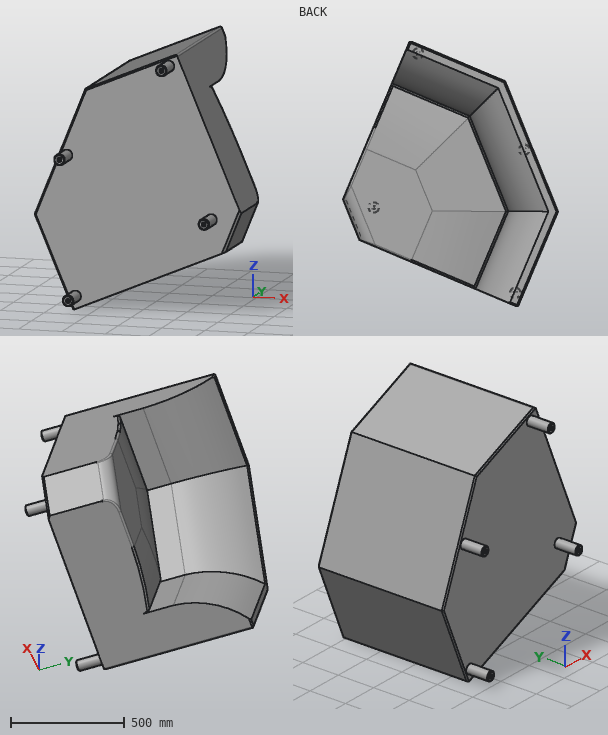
import cadquery as cq
import math

PLAN_TURN = 22.9
SIDE = 897.0
BACK_CUT = 440.0
FRONT_CUT = 137.0
TOTAL_HEIGHT = 830.0
FOOT_LENGTH = 122.0
BODY_HEIGHT = TOTAL_HEIGHT - FOOT_LENGTH

REST_TOP = 40.0
REST_THICKNESS = 204.0
REST_MIDDLE = 143.0
MIDDLE_HEIGHT = 597.0
BULGE_FOOT = 398.0

SEAT_HEIGHT = 322.0
CREVICE_HEIGHT = 260.0
CREVICE_WIDTH = 9.0
REAR_SEAT_HEIGHT = 288.0
MIDDLE_SEAT_DISTANCE = 351.0
MIDDLE_SEAT_HEIGHT = 311.0
CROWN_DISTANCE = 515.0

FRONT_ROUND = 56.0
SEAT_SIDE_ROUND = 9.0
OUTER_CHAMFER = 7.0
FRONT_BASE_CHAMFER = 12.0
CORNER_ROUND = 9.0

FOOT_DIAMETER = 50.0
FOOT_CHAMFER = 5.0
SOCKET_DIAMETER = 19.0
SOCKET_DEPTH = 6.0
PILOT_DIAMETER = 8.0
PILOT_DEPTH = 12.0
END_FOOT_INSET = 54.0
BACK_FOOT_INSET = 36.0
REAR_FOOT = 246.0
FRONT_FOOT_X = 759.0
FRONT_FOOT_Y = 739.0

HALF = SIDE / 2
FAR = 2 * SIDE
ABOVE = 2 * BODY_HEIGHT

DIAGONAL = math.sqrt(0.5)
STRAIGHT_RUNS = [(HALF, 0, 0, 1), (0, HALF, 1, 0)]
CORNER_RUN = (BACK_CUT / 2, BACK_CUT / 2, DIAGONAL, DIAGONAL)

TURN = math.radians(PLAN_TURN)
PLAN_X = cq.Vector(math.cos(TURN), 0, math.sin(TURN))
UP = cq.Vector(0, 1, 0)
PLAN_Y = UP.cross(PLAN_X)


def place(x, y, height=0):
    """Point given by plan position, measured from the rear corner, and height."""
    return PLAN_X * (x - HALF) + PLAN_Y * (y - HALF) + UP * height


def plan_plane(height=0):
    return cq.Plane(origin=place(0, 0, height), xDir=PLAN_X, normal=UP)


def nearest_to(x, y, height=0):
    return cq.selectors.NearestToPointSelector(place(x, y, height).toTuple())


def make_plan_prism():
    return cq.Workplane(plan_plane()).polyline([
        (BACK_CUT, 0), (SIDE, 0), (SIDE, SIDE - FRONT_CUT), (SIDE - FRONT_CUT, SIDE),
        (0, SIDE), (0, BACK_CUT),
    ]).close().extrude(BODY_HEIGHT)


def make_block():
    block = make_plan_prism()
    middle = (BACK_CUT + SIDE) / 2
    edges = []
    for height in (0, BODY_HEIGHT):
        for x, y in ((middle, 0), (BACK_CUT / 2, BACK_CUT / 2), (0, middle)):
            edges.extend(block.edges(nearest_to(x, y, height)).vals())
    for x, y in ((SIDE, HALF), (HALF, SIDE)):
        edges.extend(block.edges(nearest_to(x, y, BODY_HEIGHT)).vals())
    block = block.newObject(edges).chamfer(OUTER_CHAMFER)

    for x, y in ((SIDE, 0), (0, SIDE)):
        edge = nearest_to(x, y, BODY_HEIGHT / 2)
        block = block.edges(edge).fillet(CORNER_ROUND)
    return block


def run_profile(x, y, inward_x, inward_y):
    """Upright workplane at plan point (x, y): distance from the outer back, then height."""
    inward = PLAN_X * inward_x + PLAN_Y * inward_y
    return cq.Workplane(cq.Plane(origin=place(x, y), xDir=inward, normal=inward.cross(UP)))


def space_before_back(run):
    """Open space in front of one backrest run, above the fold."""
    return (
        run_profile(*run)
        .moveTo(REST_TOP, ABOVE)
        .lineTo(REST_TOP, BODY_HEIGHT)
        .threePointArc((REST_MIDDLE, MIDDLE_HEIGHT), (REST_THICKNESS, BULGE_FOOT))
        .lineTo(REST_THICKNESS, CREVICE_HEIGHT)
        .lineTo(FAR, CREVICE_HEIGHT)
        .lineTo(FAR, ABOVE)
        .close()
        .extrude(FAR, both=True)
    )


def space_under_cushion(run):
    """Region below the seat surface, which rises from the fold and then stays level."""
    return (
        run_profile(*run)
        .moveTo(REST_THICKNESS, 0)
        .lineTo(REST_THICKNESS, CREVICE_HEIGHT)
        .lineTo(REST_THICKNESS + CREVICE_WIDTH, REAR_SEAT_HEIGHT)
        .threePointArc((MIDDLE_SEAT_DISTANCE, MIDDLE_SEAT_HEIGHT), (CROWN_DISTANCE, SEAT_HEIGHT))
        .lineTo(FAR, SEAT_HEIGHT)
        .lineTo(FAR, 0)
        .close()
        .extrude(FAR, both=True)
    )


def make_cushion_shape():
    """Region of the block up to the seat surface, with the rounded seat edges."""
    cushion = make_plan_prism()
    for run in (CORNER_RUN, *STRAIGHT_RUNS):
        cushion = cushion.intersect(space_under_cushion(run))

    front = SIDE - FRONT_CUT / 2
    cushion = cushion.edges(nearest_to(front, front, SEAT_HEIGHT)).fillet(FRONT_ROUND)

    along = (CROWN_DISTANCE + SIDE - FRONT_CUT) / 2
    for x, y in ((SIDE, along), (along, SIDE)):
        cushion = cushion.edges(nearest_to(x, y, SEAT_HEIGHT)).fillet(SEAT_SIDE_ROUND)
    return cushion


def make_seat():
    opening = space_before_back(CORNER_RUN)
    for run in STRAIGHT_RUNS:
        opening = opening.intersect(space_before_back(run))
    seat = make_block().cut(opening.cut(make_cushion_shape()))

    front = SIDE - FRONT_CUT / 2
    return seat.edges(nearest_to(front, front)).chamfer(FRONT_BASE_CHAMFER)


def make_foot(x, y):
    base = cq.Workplane(plan_plane(-FOOT_LENGTH)).center(x, y)
    foot = base.circle(FOOT_DIAMETER / 2).extrude(FOOT_LENGTH)
    foot = foot.faces("<Y").edges().chamfer(FOOT_CHAMFER)
    foot = foot.cut(base.circle(SOCKET_DIAMETER / 2).extrude(SOCKET_DEPTH))
    return foot.cut(base.circle(PILOT_DIAMETER / 2).extrude(PILOT_DEPTH))


seat = make_seat()
foot_places = [
    (SIDE - END_FOOT_INSET, BACK_FOOT_INSET),
    (BACK_FOOT_INSET, SIDE - END_FOOT_INSET),
    (REAR_FOOT, REAR_FOOT),
    (FRONT_FOOT_X, FRONT_FOOT_Y),
]
feet = [make_foot(x, y) for x, y in foot_places]

result = cq.Compound.makeCompound([seat.val(), *[foot.val() for foot in feet]])